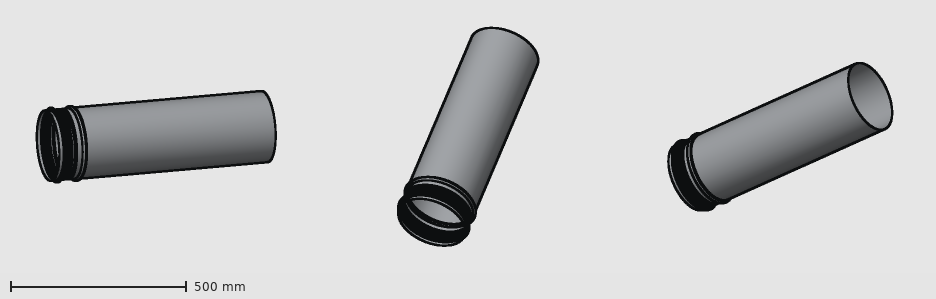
import cadquery as cq

total_length = 650.0
wall = 1.0

pipe_outer_radius = 205.0 / 2
pipe_bore_radius = pipe_outer_radius - wall

spigot_radius = 202.0 / 2
bead_radius = 214.5 / 2
bead_front = 69.5
bead_back = 80.5
tail_end = 83.0
lip_groove_radius = 192.0 / 2
lip_groove_mouth = (13.0, 30.0)
lip_groove_depth = spigot_radius - lip_groove_radius
lip_groove_floor = (
    lip_groove_mouth[0] + lip_groove_depth,
    lip_groove_mouth[1] - lip_groove_depth,
)
plain_groove_radius = 197.0 / 2
plain_groove_mouth = (36.0, 53.0)
plain_groove_floor = (38.5, 48.0)

lip_ring_radius = 200.0 / 2
lip_ring_inset = 3.0
lip_tip_radius = 214.5 / 2
lip_front = 17.5
lip_base_width = 2.5
lip_tip_width = 0.5

plain_ring_radius = 201.5 / 2
plain_ring_back_radius = 199.0 / 2
plain_ring_front = 39.5


def revolved(section):
    """Turn a closed section, drawn as (radius, Y), about the Y axis into a solid."""
    return section.close().revolve(360, (0, 0, 0), (0, 1, 0))


def make_pipe(seat):
    """Pipe whose end face is hollowed to fit the rounded back of the stop bead on the seat."""
    length = total_length - bead_back
    profile = cq.Workplane("XZ", origin=(0, bead_back, 0))
    tube = profile.circle(pipe_outer_radius).circle(pipe_bore_radius).extrude(-length)
    return tube.cut(seat)


def groove_points(mouth, floor, mouth_radius, floor_radius):
    """Four corners of a groove from front to back, as (radius, Y)."""
    return [
        (mouth_radius, mouth[0]),
        (floor_radius, floor[0]),
        (floor_radius, floor[1]),
        (mouth_radius, mouth[1]),
    ]


def make_spigot():
    spigot_bore = spigot_radius - wall
    tail_bore = pipe_bore_radius - wall
    bead_middle = (bead_front + bead_back) / 2
    grooves = [
        (lip_groove_mouth, lip_groove_floor, lip_groove_radius),
        (plain_groove_mouth, plain_groove_floor, plain_groove_radius),
    ]
    section = cq.Workplane("XY").moveTo(spigot_bore, 0).lineTo(spigot_radius, 0)
    for mouth, floor, floor_radius in grooves:
        for point in groove_points(mouth, floor, spigot_radius, floor_radius):
            section = section.lineTo(*point)
    section = (
        section.lineTo(spigot_radius, bead_front)
        .threePointArc((bead_radius, bead_middle), (pipe_bore_radius, bead_back))
        .lineTo(pipe_bore_radius, tail_end)
        .lineTo(tail_bore, tail_end)
        .lineTo(tail_bore, bead_back - wall)
        .threePointArc((bead_radius - wall, bead_middle), (spigot_bore, bead_front + wall))
    )
    for mouth, floor, floor_radius in reversed(grooves):
        for point in reversed(groove_points(mouth, floor, spigot_bore, floor_radius - wall)):
            section = section.lineTo(*point)
    return revolved(section)


def make_lip_ring():
    floor_front, floor_back = lip_groove_floor
    front = lip_groove_mouth[0] + lip_ring_inset
    back = lip_groove_mouth[1] - lip_ring_inset
    shoulder_radius = spigot_radius - lip_ring_inset
    section = cq.Workplane("XY").polyline([
        (lip_groove_radius, floor_front),
        (shoulder_radius, front),
        (lip_ring_radius, front),
        (lip_ring_radius, lip_front),
        (lip_tip_radius, lip_front),
        (lip_tip_radius, lip_front + lip_tip_width),
        (lip_ring_radius, lip_front + lip_base_width),
        (lip_ring_radius, back),
        (shoulder_radius, back),
        (lip_groove_radius, floor_back),
    ])
    return revolved(section)


def make_plain_ring():
    floor_back = plain_groove_floor[1]
    flank_length = plain_groove_mouth[1] - floor_back
    flank_height = spigot_radius - plain_groove_radius
    back_height = plain_ring_back_radius - plain_groove_radius
    back = floor_back + flank_length * back_height / flank_height
    section = cq.Workplane("XY").polyline([
        (plain_groove_radius, plain_ring_front),
        (plain_ring_radius, plain_ring_front),
        (plain_ring_radius, floor_back),
        (plain_ring_back_radius, back),
        (plain_groove_radius, floor_back),
    ])
    return revolved(section)


spigot = make_spigot()
pipe = make_pipe(spigot)
lip_ring = make_lip_ring()
plain_ring = make_plain_ring()

result = cq.Compound.makeCompound([pipe.val(), spigot.val(), lip_ring.val(), plain_ring.val()])